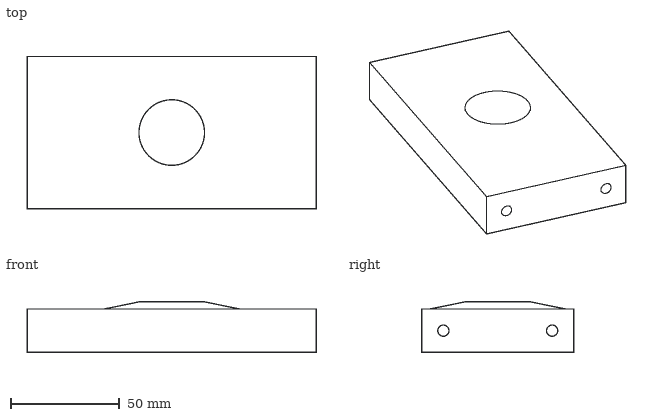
import cadquery as cq

length = 133.0
width = 70.0
plate_height = 20.0

total_height = 23.3
boss_height = total_height - plate_height
boss_base_diameter = 62.7
bore_diameter = 30.0

side_hole_diameter = 5.0
side_hole_spacing = 50.0


def make_plate():
    return cq.Workplane("XY").box(length, width, plate_height, centered=(True, True, False))


def make_boss():
    """Cone that narrows to the rim of the bore."""
    return (
        cq.Workplane("XY", origin=(0, 0, plate_height))
        .circle(boss_base_diameter / 2)
        .workplane(offset=boss_height)
        .circle(bore_diameter / 2)
        .loft(ruled=True)
    )


def make_bore():
    return cq.Workplane("XY").circle(bore_diameter / 2).extrude(total_height)


def make_side_holes():
    return (
        cq.Workplane("YZ", origin=(-length / 2, 0, plate_height / 2))
        .pushPoints([(side * side_hole_spacing / 2, 0) for side in (-1, 1)])
        .circle(side_hole_diameter / 2)
        .extrude(length)
    )


result = make_plate().union(make_boss()).cut(make_bore()).cut(make_side_holes())